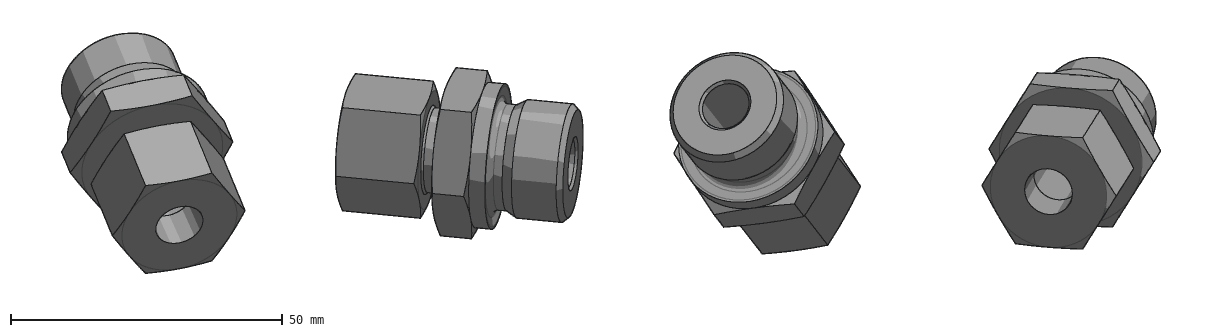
import cadquery as cq
import math


total_length = 42.5

stud_radius = 11.0
stud_chamfer_length = 1.05
stud_chamfer_height = 0.98
thread_end = 9.45
groove_radius = 9.85
runout_angle = math.radians(30)

collar_front = 14.0
collar_width = 3.0
seal_edge_radius = 13.05
dish_angle = math.radians(10)
groove_fillet = 1.25

body_flats = 27.0
body_hex_width = 6.95
hex_chamfer_angle = math.radians(15)

relief_radius = 7.85
relief_length = 2.6
spigot_radius = 8.3

bore_radius = 4.5
bore_chamfer = 0.5

nut_flats = 22.0

collar_radius = body_flats / 2
hex_front = collar_front + collar_width
hex_back = hex_front + body_hex_width
relief_end = hex_back + relief_length
nut_front = relief_end + spigot_radius - relief_radius
nut_length = total_length - nut_front
spigot_end = nut_front + nut_length / 2
groove_start = thread_end + (stud_radius - groove_radius) / math.tan(runout_angle)


def cylinder(radius, start, length):
    """Cylinder on the X axis."""
    return cq.Workplane("YZ").workplane(offset=start).circle(radius).extrude(length)


def chamfered_hexagon(flats, start, length):
    """Hexagon bar on the X axis, flats at top and bottom, with both ends turned down to a cone."""
    corner_radius = flats / 2 / math.cos(math.radians(30))
    bar = cq.Workplane("YZ").workplane(offset=start).polygon(6, 2 * corner_radius).extrude(length)
    cone_length = (corner_radius - flats / 2) * math.tan(hex_chamfer_angle)
    end = start + length
    turned_envelope = (
        cq.Workplane("XY")
        .moveTo(start, 0)
        .lineTo(start, flats / 2)
        .lineTo(start + cone_length, corner_radius)
        .lineTo(end - cone_length, corner_radius)
        .lineTo(end, flats / 2)
        .lineTo(end, 0)
        .close()
        .revolve(360, (0, 0, 0), (1, 0, 0))
    )
    return bar.intersect(turned_envelope)


def turned_body():
    """Stud, groove, dished collar and spigot as one turned shape."""
    fillet_center_radius = groove_radius + groove_fillet
    fillet_end_radius = fillet_center_radius + groove_fillet * math.sin(dish_angle)
    fillet_end = collar_front + (seal_edge_radius - fillet_end_radius) * math.tan(dish_angle)
    fillet_start = fillet_end - groove_fillet * math.cos(dish_angle)
    middle_angle = (math.radians(90) - dish_angle) / 2
    fillet_middle = (
        fillet_start + groove_fillet * math.cos(middle_angle),
        fillet_center_radius - groove_fillet * math.sin(middle_angle),
    )
    return (
        cq.Workplane("XY")
        .moveTo(0, 0)
        .lineTo(0, stud_radius - stud_chamfer_height)
        .lineTo(stud_chamfer_length, stud_radius)
        .lineTo(thread_end, stud_radius)
        .lineTo(groove_start, groove_radius)
        .lineTo(fillet_start, groove_radius)
        .threePointArc(fillet_middle, (fillet_end, fillet_end_radius))
        .lineTo(collar_front, seal_edge_radius)
        .lineTo(collar_front, collar_radius)
        .lineTo(hex_back, collar_radius)
        .lineTo(hex_back, relief_radius)
        .lineTo(relief_end, relief_radius)
        .lineTo(nut_front, spigot_radius)
        .lineTo(spigot_end, spigot_radius)
        .lineTo(spigot_end, 0)
        .close()
        .revolve(360, (0, 0, 0), (1, 0, 0))
    )


def bore_cutter():
    """Through bore of the body with a 45 degree chamfer at the stud face."""
    return (
        cq.Workplane("XY")
        .moveTo(0, 0)
        .lineTo(0, bore_radius + bore_chamfer)
        .lineTo(bore_chamfer, bore_radius)
        .lineTo(spigot_end, bore_radius)
        .lineTo(spigot_end, 0)
        .close()
        .revolve(360, (0, 0, 0), (1, 0, 0))
    )


def make_body():
    """Stud body with its wrench hexagon and bore."""
    hexagon = chamfered_hexagon(body_flats, hex_front, body_hex_width)
    return turned_body().union(hexagon).cut(bore_cutter())


def make_nut():
    """Union nut: a socket that fits the spigot, then a hole in line with the body bore."""
    socket = cylinder(spigot_radius, nut_front, spigot_end - nut_front)
    through_hole = cylinder(bore_radius, nut_front, nut_length)
    return chamfered_hexagon(nut_flats, nut_front, nut_length).cut(socket).cut(through_hole)


body = make_body()
nut = make_nut()

result = cq.Compound.makeCompound([body.val(), nut.val()])